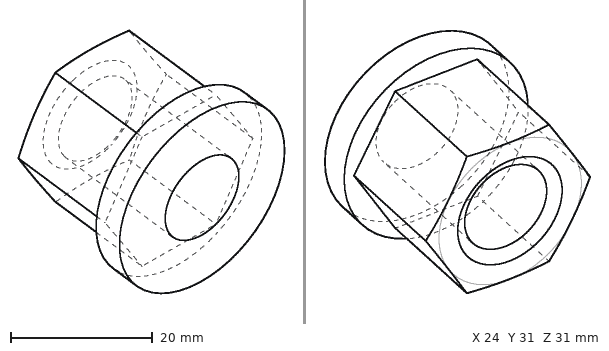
import cadquery as cq
import math

flange_diameter = 31.0
flange_thickness = 5.0
total_length = 24.0
across_flats = 24.0
bore_diameter = 13.83
countersink_diameter = 17.6
countersink_angle = 120.0
corner_chamfer_angle = 15.0

across_corners = across_flats / math.cos(math.radians(30))
flange_start = total_length - flange_thickness


def cone_height(large_diameter, small_diameter, angle_from_face):
    """Axial height of a cone between two diameters."""
    return (large_diameter - small_diameter) / 2 * math.tan(math.radians(angle_from_face))


def hex_body():
    """Hexagon with corners on Y, its free end turned down to the flats."""
    hexagon = cq.Workplane("YZ").polygon(6, across_corners).extrude(flange_start)
    chamfer_height = cone_height(across_corners, across_flats, corner_chamfer_angle)
    envelope = (
        cq.Workplane("XY")
        .moveTo(0, 0)
        .lineTo(0, across_flats / 2)
        .lineTo(chamfer_height, across_corners / 2)
        .lineTo(flange_start, across_corners / 2)
        .lineTo(flange_start, 0)
        .close()
        .revolve(360, (0, 0, 0), (1, 0, 0))
    )
    return hexagon.intersect(envelope)


def flange():
    """Round collar at the +X end."""
    return (
        cq.Workplane("YZ", origin=(flange_start, 0, 0))
        .circle(flange_diameter / 2)
        .extrude(flange_thickness)
    )


def countersunk_bore():
    """Through bore with a conical entry at the hexagon end."""
    countersink_depth = cone_height(
        countersink_diameter, bore_diameter, 90 - countersink_angle / 2
    )
    return (
        cq.Workplane("XY")
        .moveTo(0, 0)
        .lineTo(0, countersink_diameter / 2)
        .lineTo(countersink_depth, bore_diameter / 2)
        .lineTo(total_length, bore_diameter / 2)
        .lineTo(total_length, 0)
        .close()
        .revolve(360, (0, 0, 0), (1, 0, 0))
    )


result = hex_body().union(flange()).cut(countersunk_bore())